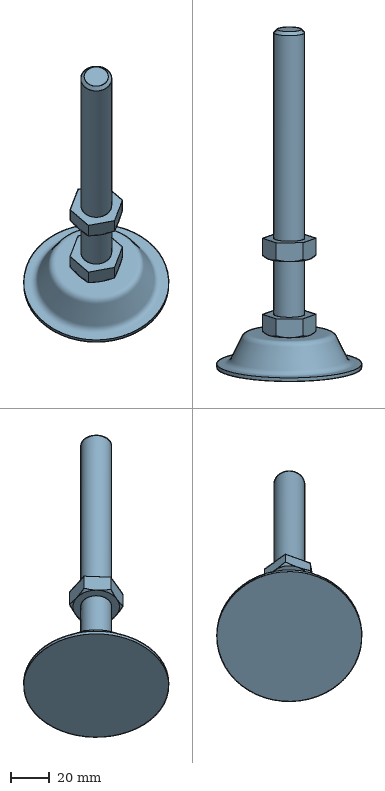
import cadquery as cq
import math

total_height = 178.0

flange_diameter = 75.0
flange_thickness = 2.0
foot_height = 18.0
cone_base_radius = 31.3
cone_top_radius = 23.5
foot_blend_radius = 4.0

stud_diameter = 16.0
stud_chamfer = 1.8

nut_across_flats = 24.0
nut_height = 10.0
nut_chamfer_angle = 30.0
lock_nut_base = 58.0


def make_foot():
    """Solid cone on a thin flange, rounded at its top rim and where it meets the flange."""
    flange_radius = flange_diameter / 2
    foot = (
        cq.Workplane("XZ")
        .polyline([
            (0, 0),
            (flange_radius, 0),
            (flange_radius, flange_thickness),
            (cone_base_radius, flange_thickness),
            (cone_top_radius, foot_height),
            (0, foot_height),
        ])
        .close()
        .revolve(360, (0, 0), (0, 1))
    )
    rim = foot.edges(cq.selectors.RadiusNthSelector(0)).vals()
    root = foot.edges(cq.selectors.RadiusNthSelector(1)).vals()
    return foot.newObject(rim + root).fillet(foot_blend_radius)


def make_stud():
    """Plain rod standing on the foot, chamfered at its free end."""
    return (
        cq.Workplane("XY", origin=(0, 0, foot_height))
        .circle(stud_diameter / 2)
        .extrude(total_height - foot_height)
        .faces(">Z")
        .chamfer(stud_chamfer)
    )


def make_nut(base_height):
    """Hex nut with corners on the X axis, conically chamfered on its lower face."""
    flat_radius = nut_across_flats / 2
    corner_radius = flat_radius / math.cos(math.pi / 6)
    chamfer_height = (corner_radius - flat_radius) * math.tan(math.radians(nut_chamfer_angle))
    hexagon = cq.Workplane("XY").polygon(6, 2 * corner_radius).extrude(nut_height)
    chamfer_envelope = (
        cq.Workplane("XZ")
        .polyline([
            (0, 0),
            (flat_radius, 0),
            (corner_radius, chamfer_height),
            (corner_radius, nut_height),
            (0, nut_height),
        ])
        .close()
        .revolve(360, (0, 0), (0, 1))
    )
    bore = cq.Workplane("XY").circle(stud_diameter / 2).extrude(nut_height)
    return hexagon.intersect(chamfer_envelope).cut(bore).translate((0, 0, base_height))


foot = make_foot()
stud = make_stud()
nuts = [make_nut(base_height) for base_height in (foot_height, lock_nut_base)]

bodies = [foot, stud, *nuts]
result = cq.Compound.makeCompound([body.solids().val() for body in bodies])